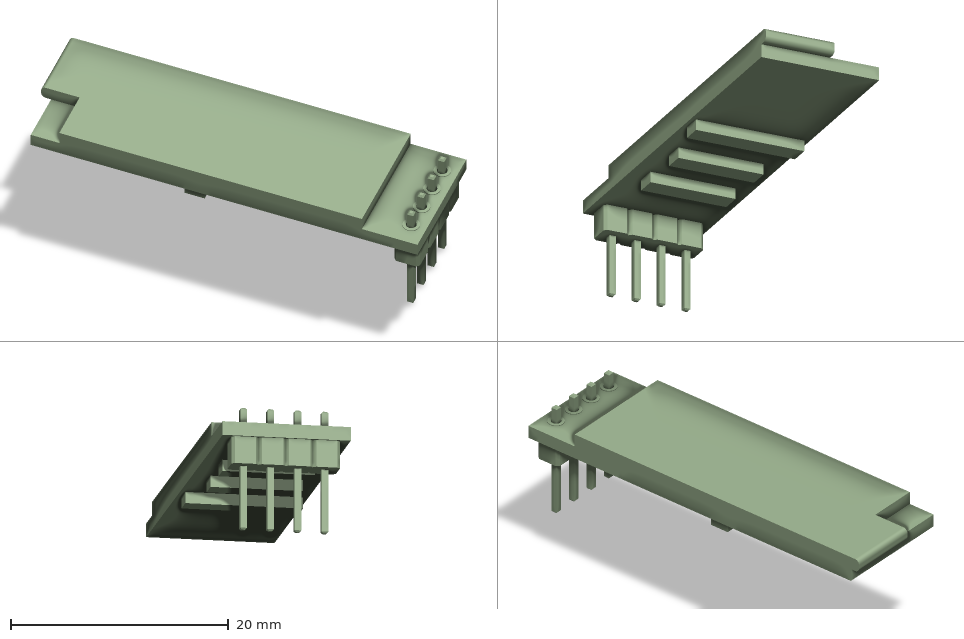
import cadquery as cq

overall_length = 39.3
board_width = 12.0
board_thickness = 1.3
board_start = 1.0

panel_thickness = 1.3
panel_start = 3.8
panel_end = 33.8
tab_width = 7.0
tab_radius = 0.47

pin_count = 4
header_width = 10.15
pitch = header_width / pin_count
header_x = 37.8
header_height = 2.55
header_chamfer = 0.28
pin_width = 0.63
pin_length = 11.55
pin_below_header = 6.0
pin_tip_chamfer = 0.15

hole_diameter = 1.0
pad_diameter = 1.6
pad_thickness = 0.08

block_length = 2.0
block_height = 1.05
long_block_width = 11.0
short_block_width = 8.65
blocks = [
    (17.0, long_block_width),
    (23.3, short_block_width),
    (29.28, short_block_width),
]

CENTERED_ON_AXIS = (True, True, False)
FROM_LEFT_END = (False, True, False)

pin_positions = [
    (header_x, (i - (pin_count - 1) / 2) * pitch) for i in range(pin_count)
]


def make_board():
    """Board with raised pads, drilled through at each pin."""
    board = (
        cq.Workplane("XY")
        .box(overall_length - board_start, board_width, board_thickness, centered=FROM_LEFT_END)
        .translate((board_start, 0, 0))
    )
    pads = (
        cq.Workplane("XY")
        .pushPoints(pin_positions)
        .circle(pad_diameter / 2)
        .extrude(board_thickness + pad_thickness)
    )
    holes = (
        cq.Workplane("XY")
        .pushPoints(pin_positions)
        .circle(hole_diameter / 2)
        .extrude(board_thickness + pad_thickness)
    )
    return board.union(pads).cut(holes)


def make_panel():
    """Display panel with its tab flush with the +Y side of the board."""
    panel = (
        cq.Workplane("XY")
        .box(panel_end - panel_start, board_width, panel_thickness, centered=FROM_LEFT_END)
        .translate((panel_start, 0, board_thickness))
    )
    tab = (
        cq.Workplane("XY")
        .box(panel_start, tab_width, panel_thickness, centered=FROM_LEFT_END)
        .edges("<X and |Y")
        .fillet(tab_radius)
        .translate((0, (board_width - tab_width) / 2, board_thickness))
    )
    return panel.union(tab)


def make_header():
    """Row of corner-cut housings, each carrying one square pin."""
    housing = (
        cq.Workplane("XY")
        .box(pitch, pitch, header_height, centered=CENTERED_ON_AXIS)
        .edges("|Z")
        .chamfer(header_chamfer)
        .translate((0, 0, -header_height))
    )
    pin = (
        cq.Workplane("XY")
        .box(pin_width, pin_width, pin_length, centered=CENTERED_ON_AXIS)
        .faces("<Z or >Z")
        .chamfer(pin_tip_chamfer)
        .translate((0, 0, -(header_height + pin_below_header)))
    )
    unit = housing.union(pin)
    header = cq.Workplane("XY")
    for x, y in pin_positions:
        header = header.union(unit.translate((x, y, 0)))
    return header


def make_block(x, width):
    """Plain component block hanging from the underside of the board."""
    return (
        cq.Workplane("XY")
        .box(block_length, width, block_height, centered=CENTERED_ON_AXIS)
        .translate((x, 0, -block_height))
    )


result = make_board().union(make_panel()).union(make_header())
for block_x, block_width in blocks:
    result = result.union(make_block(block_x, block_width))